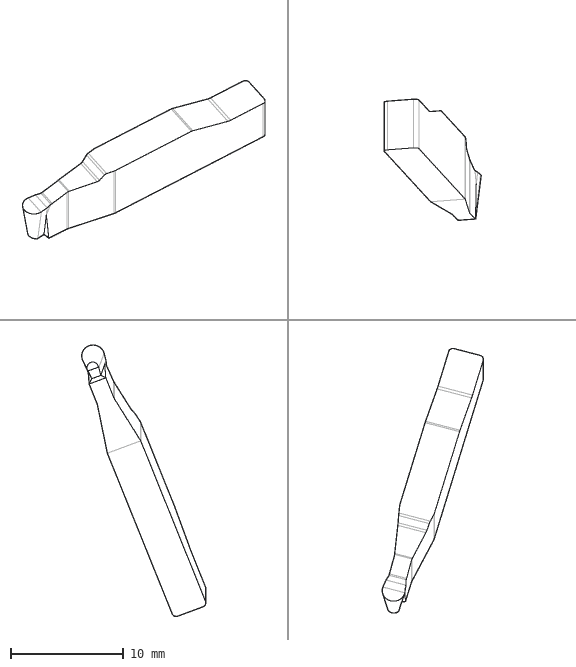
import cadquery as cq
import math


length = 25.05
body_width = 3.2
neck_width = 1.6
taper_start = 8.65
taper_angle = 10.0
taper_blend = 0.9
rear_corner_radius = 0.4

body_height = 5.79
ledge_height = 5.13
rake_height = 4.54

rear_ramp_top = 17.0
rear_ramp_bottom = 21.0
rear_ramp_top_blend = 0.5
rear_ramp_bottom_blend = 1.0
shoulder_top = 7.75
shoulder_blend = 0.3
neck_ramp_top = 4.23
neck_ramp_blend = 0.3
neck_ramp_bottom = 2.45
rake_curve_start = 2.32
rake_flat_start = 1.1
rake_curve_angle = 6.0
rake_slope_angle = 2.0

underside_angle = 1.0
underside_step = 2.1
head_bottom = 0.46
toe_start = 1.03
toe_end = 0.4
toe_height = 0.8

nose_radius = 1.02
clearance_angle = 6.9
side_angle = 7.0
head_rear = 1.82
flare_start = 2.3
head_top = rake_height + 0.1


def tangent(angle):
    return math.tan(math.radians(angle))


def round_edge(solid, radius, point):
    return solid.edges(cq.NearestToPointSelector(point)).fillet(radius)


def make_side_profile():
    """Outline in the YZ plane, extruded across the full width."""
    shoulder_bottom = shoulder_top - (body_height - ledge_height)
    step_height = (taper_start - underside_step) * tangent(underside_angle)
    toe_slope = (toe_height - head_bottom) / (toe_start - toe_end)

    steep = math.radians(rake_curve_angle)
    gentle = math.radians(rake_slope_angle)
    slope_top = rake_height + (head_rear - rake_flat_start) * math.tan(gentle)
    curve_radius = (rake_curve_start - head_rear) / (math.sin(steep) - math.sin(gentle))

    def rake_curve_point(angle):
        """Point of the concave rake arc where the slope has the given angle."""
        y = head_rear + curve_radius * (math.sin(angle) - math.sin(gentle))
        z = slope_top + curve_radius * (math.cos(gentle) - math.cos(angle))
        return y, z

    curve_top = rake_curve_point(steep)[1]
    ramp_foot = curve_top + (neck_ramp_bottom - rake_curve_start) * math.tan(steep)

    profile = (
        cq.Workplane("YZ", origin=(-body_width / 2, 0, 0))
        .moveTo(length, 0)
        .lineTo(length, rake_height)
        .lineTo(rear_ramp_bottom, rake_height)
        .lineTo(rear_ramp_top, body_height)
        .lineTo(shoulder_top, body_height)
        .lineTo(shoulder_bottom, ledge_height)
        .lineTo(neck_ramp_top, ledge_height)
        .lineTo(neck_ramp_bottom, ramp_foot)
        .lineTo(rake_curve_start, curve_top)
        .threePointArc(rake_curve_point((steep + gentle) / 2), (head_rear, slope_top))
        .lineTo(rake_flat_start, rake_height)
        .lineTo(0, rake_height)
        .lineTo(0, head_bottom + toe_start * toe_slope)
        .lineTo(toe_start, head_bottom)
        .lineTo(head_rear, head_bottom)
        .lineTo(underside_step, step_height)
        .lineTo(taper_start, 0)
        .close()
        .extrude(body_width)
    )
    profile = round_edge(profile, rear_ramp_bottom_blend, (0, rear_ramp_bottom, rake_height))
    profile = round_edge(profile, rear_ramp_top_blend, (0, rear_ramp_top, body_height))
    profile = round_edge(profile, shoulder_blend, (0, shoulder_top, body_height))
    profile = round_edge(profile, shoulder_blend, (0, shoulder_bottom, ledge_height))
    return round_edge(profile, neck_ramp_blend, (0, neck_ramp_top, ledge_height))


def make_shank():
    """Full-height plan shape of the body, taper and neck."""
    half_body = body_width / 2
    half_neck = neck_width / 2
    taper_end = taper_start - (half_body - half_neck) / tangent(taper_angle)
    right_side = [
        (half_neck, head_rear),
        (half_neck, taper_end),
        (half_body, taper_start),
        (half_body, length),
    ]
    left_side = [(-x, y) for x, y in reversed(right_side)]
    shank = cq.Workplane("XY").polyline(right_side + left_side).close().extrude(body_height)
    shank = shank.edges("|Z and >Y").fillet(rear_corner_radius)
    middle = body_height / 2
    for side in (-1, 1):
        shank = round_edge(shank, taper_blend, (side * half_body, taper_start, middle))
        shank = round_edge(shank, taper_blend, (side * half_neck, taper_end, middle))
    return shank


def nose_radius_at(height):
    """Nose radius at one height, shrinking downward by the clearance angle."""
    return nose_radius - (rake_height - height) * tangent(clearance_angle)


def head_rear_half_width(height):
    side = math.radians(side_angle)
    return nose_radius_at(height) / math.cos(side) - (head_rear - nose_radius) * math.tan(side)


def head_section(height):
    """Closed outline of the head: a round nose with tangent sides converging to the rear."""
    side = math.radians(side_angle)
    radius = nose_radius_at(height)
    touch_x = radius * math.cos(side)
    touch_y = nose_radius + radius * math.sin(side)
    rear_x = head_rear_half_width(height)
    return (
        cq.Workplane("XY", origin=(0, 0, height))
        .moveTo(-rear_x, head_rear)
        .lineTo(-touch_x, touch_y)
        .threePointArc((0, nose_radius - radius), (touch_x, touch_y))
        .lineTo(rear_x, head_rear)
        .close()
        .val()
    )


def make_head():
    return cq.Workplane(obj=cq.Solid.makeLoft([head_section(0), head_section(head_top)], True))


def make_transition(height, blend_start):
    """Mirrored pyramids from the given height to the throat, where head and neck are equally wide."""
    half_neck = neck_width / 2
    side = math.radians(side_angle)
    throat_radius = half_neck * math.cos(side) + (head_rear - nose_radius) * math.sin(side)
    throat_height = rake_height - (nose_radius - throat_radius) / tangent(clearance_angle)
    corners = [
        cq.Vector(half_neck, blend_start, height),
        cq.Vector(half_neck, head_rear, height),
        cq.Vector(head_rear_half_width(height), head_rear, height),
    ]
    apex = cq.Vector(half_neck, head_rear, throat_height)
    triangles = [corners] + [[corners[i - 1], corners[i], apex] for i in range(len(corners))]
    faces = [cq.Face.makeFromWires(cq.Wire.makePolygon(points, close=True)) for points in triangles]
    pyramid = cq.Workplane(obj=cq.Solid.makeSolid(cq.Shell.makeShell(faces)))
    return pyramid.add(pyramid.mirror("YZ")).combine()


lower_relief = make_transition(0, underside_step)
upper_flare = make_transition(head_top, flare_start)
blank = make_shank().cut(lower_relief).union(upper_flare).union(make_head())
result = blank.intersect(make_side_profile())